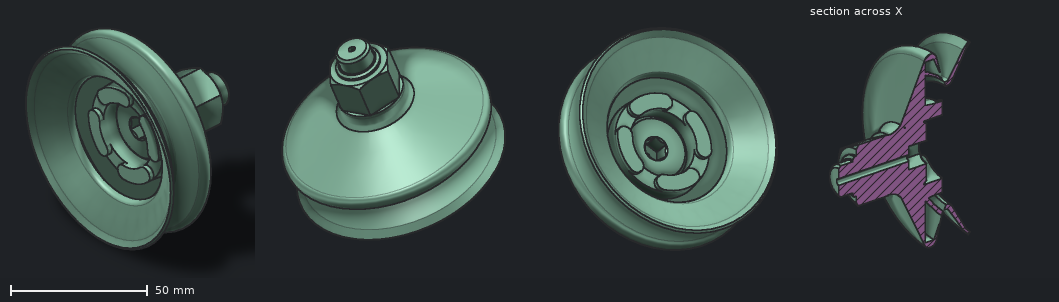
import cadquery as cq
import math


rim_radius = 40.0
rim_y = 0.7
mouth_radius = 39.1
lip_outer_radius, lip_outer_y = 37.2, 3.4
lip_inner_radius, lip_inner_y = 36.9, 1.9
waist_radius, waist_y = 26.5, 11.1
waist_front_radius, waist_front_y = 27.0, 9.8
waist_back_radius, waist_back_y = 27.4, 12.5
fold_radius = rim_radius
fold_y = 18.1
fold_front_radius, fold_front_y = 37.8, 15.1
fold_back_radius, fold_back_y = 37.8, 20.8
neck_flare_radius, neck_flare_y = 14.9, 31.5
neck_middle_radius, neck_middle_y = 13.1, 33.8
neck_radius = 25.0 / 2
neck_start_y = 35.9

throat_radius, throat_y = 24.4, 11.0
throat_front_radius, throat_front_y = 25.7, 8.2
throat_middle_radius, throat_middle_y = 24.7, 9.4
fold_cavity_radius, fold_cavity_y = 37.2, 16.5
cavity_floor_y = 20.2

insert_radius = 38.0 / 2
insert_base_radius = 19.5
insert_face_y = 14.5
lug_height = 2.0
lug_count = 4
lug_half_angle = 22.4
first_lug_angle = 21.8
recess_radius = 26.0 / 2
recess_floor_radius = 11.8
recess_floor_y = 19.7
recess_floor_chamfer = recess_radius - recess_floor_radius

socket_across_corners = 9.4
socket_mouth_radius = socket_across_corners / 2
socket_depth = 8.0
socket_across_flats = socket_across_corners * math.cos(math.radians(30))
air_hole_diameter = 2.5

nut_start_y = 37.1
nut_end_y = 51.6
nut_across_flats = 22.0
nut_across_corners = nut_across_flats / math.cos(math.radians(30))
nut_chamfer_length = 1.0
collar_radius = 8.4
collar_top_radius = 14.4 / 2
collar_end_y = 53.2
collar_chamfer_length = 0.7
stud_radius = 13.1 / 2
stud_chamfer = 1.0
total_length = 59.5


def revolve_about_y(profile):
    return profile.close().revolve(360, (0, 0, 0), (0, 1, 0))


def cylinder_along_y(radius, start_y, end_y):
    return revolve_about_y(
        cq.Workplane("XY")
        .moveTo(0, start_y)
        .lineTo(radius, start_y)
        .lineTo(radius, end_y)
        .lineTo(0, end_y)
    )


def hexagon_along_y(across_corners, start_y, end_y):
    """Hexagonal prism with two corners on the Z axis."""
    return (
        cq.Workplane("XZ", origin=(0, start_y, 0))
        .transformed(rotate=(0, 0, 90))
        .polygon(6, across_corners)
        .extrude(start_y - end_y)
    )


def make_cup():
    """Bellows wall together with the solid insert; the recess floor falls away at its edge."""
    return revolve_about_y(
        cq.Workplane("XY")
        .moveTo(0, nut_start_y)
        .lineTo(neck_radius, nut_start_y)
        .lineTo(neck_radius, neck_start_y)
        .threePointArc((neck_middle_radius, neck_middle_y), (neck_flare_radius, neck_flare_y))
        .lineTo(fold_back_radius, fold_back_y)
        .threePointArc((fold_radius, fold_y), (fold_front_radius, fold_front_y))
        .lineTo(waist_back_radius, waist_back_y)
        .threePointArc((waist_radius, waist_y), (waist_front_radius, waist_front_y))
        .lineTo(lip_outer_radius, lip_outer_y)
        .lineTo(rim_radius, rim_y)
        .lineTo(mouth_radius, 0)
        .lineTo(lip_inner_radius, lip_inner_y)
        .lineTo(throat_front_radius, throat_front_y)
        .threePointArc((throat_middle_radius, throat_middle_y), (throat_radius, throat_y))
        .lineTo(fold_cavity_radius, fold_cavity_y)
        .lineTo(fold_cavity_radius, cavity_floor_y)
        .lineTo(insert_base_radius, cavity_floor_y)
        .lineTo(insert_radius, insert_face_y)
        .lineTo(recess_radius, insert_face_y)
        .lineTo(recess_radius, recess_floor_y + recess_floor_chamfer)
        .lineTo(recess_floor_radius, recess_floor_y)
        .lineTo(0, recess_floor_y)
    )


def make_lug(middle_angle):
    """Kidney-shaped lug following the ring between the recess and the insert edge."""
    middle_radius = (recess_radius + insert_radius) / 2
    end_radius = (insert_radius - recess_radius) / 2
    end_cap_angle = math.degrees(end_radius / middle_radius)
    start = middle_angle - lug_half_angle
    end = middle_angle + lug_half_angle

    def point(radius, angle):
        return (radius * math.cos(math.radians(angle)), radius * math.sin(math.radians(angle)))

    return (
        cq.Workplane("XZ", origin=(0, insert_face_y, 0))
        .moveTo(*point(insert_radius, start))
        .threePointArc(point(insert_radius, middle_angle), point(insert_radius, end))
        .threePointArc(point(middle_radius, end + end_cap_angle), point(recess_radius, end))
        .threePointArc(point(recess_radius, middle_angle), point(recess_radius, start))
        .threePointArc(point(middle_radius, start - end_cap_angle), point(insert_radius, start))
        .close()
        .extrude(lug_height)
    )


def make_nut():
    """Hexagon nut with its corners turned down at the stud end."""
    corner_cone = revolve_about_y(
        cq.Workplane("XY")
        .moveTo(0, nut_start_y)
        .lineTo(nut_across_corners / 2, nut_start_y)
        .lineTo(nut_across_corners / 2, nut_end_y - nut_chamfer_length)
        .lineTo(nut_across_flats / 2, nut_end_y)
        .lineTo(0, nut_end_y)
    )
    return hexagon_along_y(nut_across_corners, nut_start_y, nut_end_y).intersect(corner_cone)


def make_stud():
    """Collar above the nut and the stud with its chamfered end."""
    return revolve_about_y(
        cq.Workplane("XY")
        .moveTo(0, nut_end_y)
        .lineTo(collar_radius, nut_end_y)
        .lineTo(collar_radius, collar_end_y - collar_chamfer_length)
        .lineTo(collar_top_radius, collar_end_y)
        .lineTo(stud_radius, collar_end_y)
        .lineTo(stud_radius, total_length - stud_chamfer)
        .lineTo(stud_radius - stud_chamfer, total_length)
        .lineTo(0, total_length)
    )


def make_socket():
    """Hexagon socket with a 45 degree conical lead-in at its mouth."""
    socket_end_y = recess_floor_y + socket_depth
    flat_radius = socket_across_flats / 2
    lead_in_length = socket_mouth_radius - flat_radius
    lead_in = revolve_about_y(
        cq.Workplane("XY")
        .moveTo(0, recess_floor_y)
        .lineTo(socket_mouth_radius, recess_floor_y)
        .lineTo(flat_radius, recess_floor_y + lead_in_length)
        .lineTo(0, recess_floor_y + lead_in_length)
    )
    return hexagon_along_y(socket_across_corners, recess_floor_y, socket_end_y).union(lead_in)


result = make_cup().union(make_nut()).union(make_stud())
for lug_index in range(lug_count):
    result = result.union(make_lug(first_lug_angle + lug_index * 360 / lug_count))
result = result.cut(make_socket())
result = result.cut(cylinder_along_y(air_hole_diameter / 2, 0, total_length))